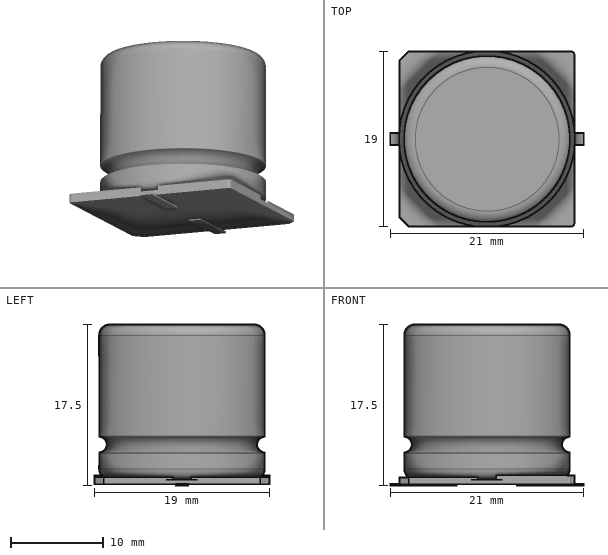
import cadquery as cq

overall_length = 21.0
overall_height = 17.5

base_width = 19.0
base_bottom = 0.15
low_top = 0.9
high_top = 1.11
step_x = 1.0
corner_chamfer = 1.0
corner_radius = 0.4

seat_diameter = 19.1
seat_floor = 0.65

can_diameter = 18.0
can_radius = can_diameter / 2
can_edge_radius = 1.2
groove_radius = 0.85
groove_center_z = 4.45
lip_radius = 0.1

lead_width = 1.35
lead_thickness = 0.19
lead_inner_x = 3.25


def make_base():
    """Square plate with a raised +X part, a sunken round seat and shaped corners."""
    base = (
        cq.Workplane("XY")
        .workplane(offset=base_bottom)
        .rect(base_width, base_width)
        .extrude(high_top - base_bottom)
    )
    base = base.edges("|Z and <X").chamfer(corner_chamfer)
    base = base.edges("|Z and >X").fillet(corner_radius)
    lowered_part = (
        cq.Workplane("XY")
        .box(base_width, base_width, high_top, centered=(False, True, False))
        .translate((step_x - base_width, 0, low_top))
    )
    seat = (
        cq.Workplane("XY")
        .workplane(offset=seat_floor)
        .circle(seat_diameter / 2)
        .extrude(high_top)
    )
    return base.cut(lowered_part).cut(seat)


def make_can():
    """Cylinder with rounded ends and a crimp groove whose lips are rounded."""
    can = (
        cq.Workplane("XY")
        .workplane(offset=seat_floor)
        .circle(can_radius)
        .extrude(overall_height - seat_floor)
        .faces("<Z or >Z")
        .edges()
        .fillet(can_edge_radius)
    )
    groove = (
        cq.Workplane("XZ")
        .center(can_radius, groove_center_z)
        .circle(groove_radius)
        .revolve(360, (-can_radius, 0), (-can_radius, 1))
    )
    lips = cq.selectors.BoxSelector(
        (-can_diameter, -can_diameter, groove_center_z - groove_radius - lip_radius),
        (can_diameter, can_diameter, groove_center_z + groove_radius + lip_radius),
    )
    return can.cut(groove).edges(lips).edges("%CIRCLE").fillet(lip_radius)


def make_lead(side):
    """Flat lead under the plate; side is -1 or +1 along X."""
    length = overall_length / 2 - lead_inner_x
    return (
        cq.Workplane("XY")
        .box(length, lead_width, lead_thickness, centered=(True, True, False))
        .translate((side * (lead_inner_x + length / 2), 0, 0))
    )


result = make_base().union(make_can())
for side in (-1, 1):
    result = result.union(make_lead(side))